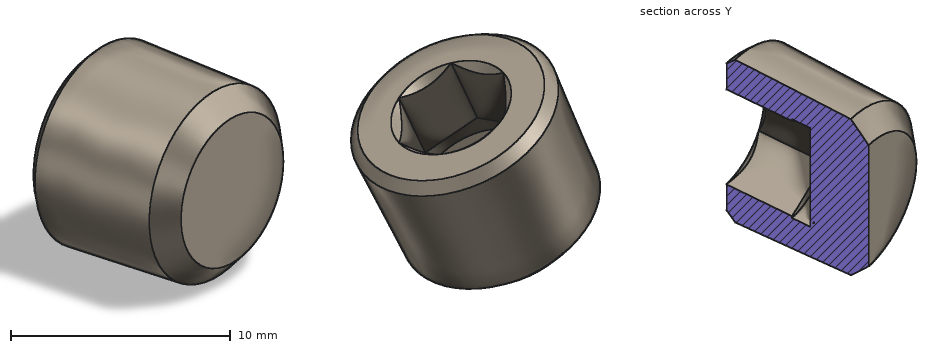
import cadquery as cq
import math

length = 8.0
large_radius = 4.985
head_chamfer = 0.5
taper_ratio = 1 / 16
nose_length = 1.0
nose_radius = 3.71
hex_flats = 5.0
hex_depth = 3.7
relief_diameter = 6.0
relief_length = 1.0
countersink_half_angle = math.radians(45)

hex_corners = hex_flats / math.cos(math.pi / 6)
mouth_radius = hex_corners / 2
nose_start = length - nose_length
small_radius = large_radius - (nose_start - head_chamfer) * taper_ratio / 2


def make_body():
    """Revolve the chamfered, tapered, conical-nosed outline about the X axis."""
    return (
        cq.Workplane("XY")
        .lineTo(0, large_radius - head_chamfer)
        .lineTo(head_chamfer, large_radius)
        .lineTo(nose_start, small_radius)
        .lineTo(length, nose_radius)
        .lineTo(length, 0)
        .close()
        .revolve(360, (0, 0, 0), (1, 0, 0))
    )


def make_socket():
    """Hexagonal prism with corners pointing along +Z and -Z."""
    return (
        cq.Workplane("YZ")
        .transformed(rotate=(0, 0, 90))
        .polygon(6, hex_corners)
        .extrude(hex_depth)
    )


def make_relief():
    """Round blind undercut, wider than the hexagon, behind the hex section."""
    return (
        cq.Workplane("YZ")
        .workplane(offset=hex_depth)
        .circle(relief_diameter / 2)
        .extrude(relief_length)
    )


def make_countersink():
    """Cone that meets the hexagon corners at the socket mouth."""
    cone_depth = mouth_radius / math.tan(countersink_half_angle)
    cone = cq.Solid.makeCone(mouth_radius, 0, cone_depth, dir=cq.Vector(1, 0, 0))
    return cq.Workplane(cone)


result = make_body().cut(make_socket()).cut(make_relief()).cut(make_countersink())